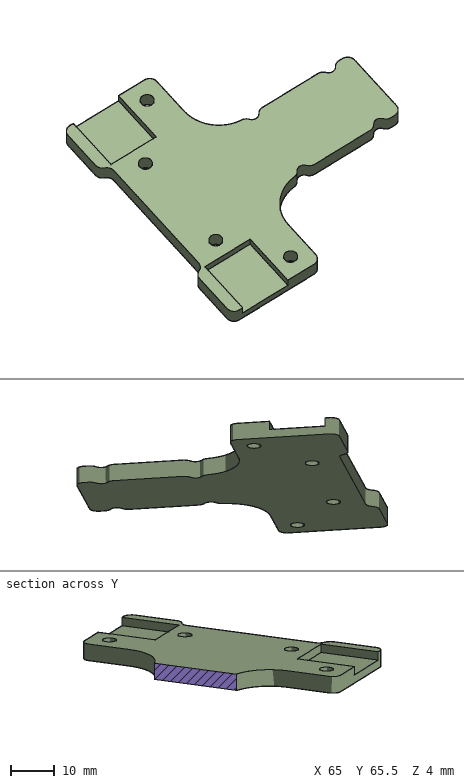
import cadquery as cq
import math

length = 65.5
half_width = 32.5
thickness = 4.0
corner_radius = 2.0

neck_half_width = 10.0
crossbar_depth = 25.5
shoulder_radius = 10.0

notch_diameter = 3.2
notch_radius = notch_diameter / 2
upper_notch_y = length - 6.0
lower_notch_y = length - 28.05

recess_depth = 2.5
foot_width = 14.55

pocket_length = 14.5
pocket_width = 13.0
pocket_depth = thickness / 2
pocket_margin = 3.0

hole_diameter = 3.2
outer_hole_inset = 5.0
inner_hole_x = 13.5
inner_hole_y = 9.5


def arc(center, radius, start, end):
    """Middle and end points of an arc, with angles in radians."""
    return [
        (center[0] + radius * math.cos(angle), center[1] + radius * math.sin(angle))
        for angle in ((start + end) / 2, end)
    ]


lip_x = neck_half_width - corner_radius
lip_distance = notch_radius + corner_radius
lip_angle = math.acos(-corner_radius / lip_distance)
lip_offset = lip_distance * math.sin(lip_angle)

shoulder_center = (neck_half_width + shoulder_radius, crossbar_depth + shoulder_radius)
lower_notch = (neck_half_width, lower_notch_y)
gap_x = shoulder_center[0] - lower_notch[0]
gap_y = shoulder_center[1] - lower_notch[1]
gap = math.hypot(gap_x, gap_y)
shoulder_distance = shoulder_radius + corner_radius
triangle_cosine = (lip_distance**2 + gap**2 - shoulder_distance**2) / (2 * lip_distance * gap)
low_lip_angle = math.atan2(gap_y, gap_x) - math.acos(triangle_cosine)
low_lip = (
    lower_notch[0] + lip_distance * math.cos(low_lip_angle),
    lower_notch[1] + lip_distance * math.sin(low_lip_angle),
)
low_lip_end = math.atan2(shoulder_center[1] - low_lip[1], shoulder_center[0] - low_lip[0])

foot_center = (half_width - foot_width + corner_radius, corner_radius)
foot_distance = 2 * corner_radius
recess_round_y = recess_depth - corner_radius
foot_angle = math.pi - math.asin((recess_round_y - corner_radius) / foot_distance)
recess_round = (foot_center[0] + foot_distance * math.cos(foot_angle), recess_round_y)


def half_plate():
    """Right half of the plate, traced clockwise from the top of the neck."""
    right = 0.0
    up = math.pi / 2
    left = math.pi
    down = -math.pi / 2
    corner_x = half_width - corner_radius
    outline = (
        cq.Workplane("XY")
        .moveTo(0, length)
        .lineTo(lip_x, length)
        .threePointArc(*arc((lip_x, length - corner_radius), corner_radius, up, right))
        .lineTo(neck_half_width, upper_notch_y + lip_offset)
        .threePointArc(*arc((lip_x, upper_notch_y + lip_offset), corner_radius, right, lip_angle - left))
        .threePointArc(
            *arc((neck_half_width, upper_notch_y), notch_radius, lip_angle, 2 * math.pi - lip_angle)
        )
        .threePointArc(*arc((lip_x, upper_notch_y - lip_offset), corner_radius, left - lip_angle, right))
        .lineTo(neck_half_width, lower_notch_y + lip_offset)
        .threePointArc(*arc((lip_x, lower_notch_y + lip_offset), corner_radius, right, lip_angle - left))
        .threePointArc(*arc(lower_notch, notch_radius, lip_angle, low_lip_angle + 2 * math.pi))
        .threePointArc(*arc(low_lip, corner_radius, low_lip_angle + math.pi, low_lip_end))
        .threePointArc(*arc(shoulder_center, shoulder_radius, low_lip_end + math.pi, 1.5 * math.pi))
        .lineTo(corner_x, crossbar_depth)
        .threePointArc(*arc((corner_x, crossbar_depth - corner_radius), corner_radius, up, right))
        .lineTo(half_width, corner_radius)
        .threePointArc(*arc((corner_x, corner_radius), corner_radius, right, down))
        .lineTo(foot_center[0], 0)
        .threePointArc(*arc(foot_center, corner_radius, 1.5 * math.pi, foot_angle))
        .threePointArc(*arc(recess_round, corner_radius, foot_angle - math.pi, up))
        .lineTo(0, recess_depth)
        .close()
    )
    return outline.extrude(thickness)


def pocket():
    """Cutter for the pocket that opens through the right end of the crossbar."""
    return cq.Workplane("XY").box(pocket_length, pocket_width, pocket_depth, centered=False).translate(
        (half_width - pocket_length, pocket_margin, thickness - pocket_depth)
    )


def holes():
    """Cutters for the two through holes of the right half."""
    centers = [
        (half_width - outer_hole_inset, crossbar_depth - outer_hole_inset),
        (inner_hole_x, inner_hole_y),
    ]
    return cq.Workplane("XY").pushPoints(centers).circle(hole_diameter / 2).extrude(thickness)


right_half = half_plate().cut(pocket()).cut(holes())
result = right_half.union(right_half.mirror("YZ")).clean()